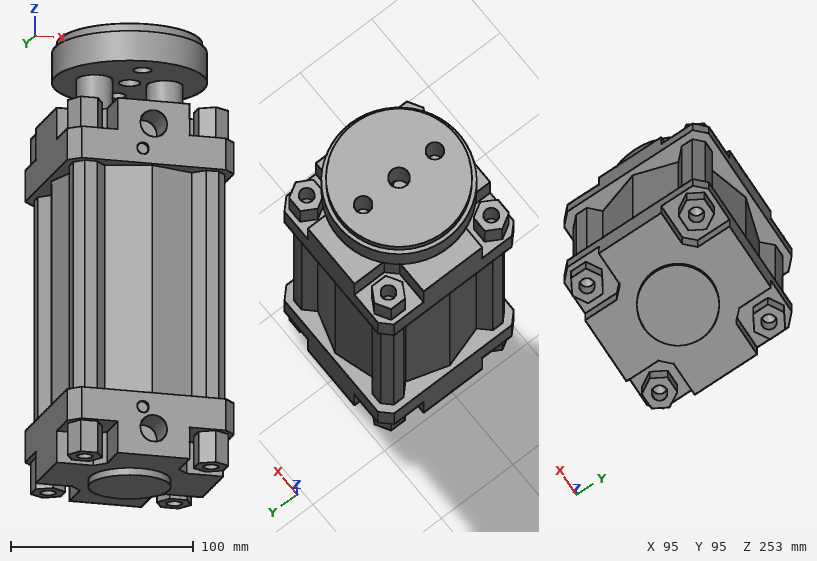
import cadquery as cq
import math


total_height = 253.0
boss_height = 4.0
cap_height = 36.0
tube_height = 131.0
flange_height = 17.0
raised_face_height = 5.0

bottom_cap_base = -total_height / 2 + boss_height
tube_base = bottom_cap_base + cap_height
top_cap_base = tube_base + tube_height
housing_top = top_cap_base + cap_height
plate_top = total_height / 2
plate_base = plate_top - raised_face_height - flange_height

cap_width = 95.0
cap_chamfer = 6.3
cross_half_width = 20.5
pocket_depth = 18.0
pocket_chamfer = 6.0
boss_diameter = 45.0

nut_spacing = 71.9
nut_across_flats = 17.0
nut_hole_diameter = 8.5
nut_hole_depth = pocket_depth
drill_point_angle = 118.0

ridge_distance = 44.5
post_distance = 43.3
post_corner = 38.2
post_edge = 31.0
groove_depth = 6.3

port_diameter = 15.2
port_depth = 20.2
top_port_drop = 13.0
bottom_port_drop = 15.7
screw_hole_diameter = 6.5
screw_hole_depth = 1.5
screw_hole_x = -6.0
screw_hole_drop = 27.5

rod_diameter = 20.0
rod_spacing = 40.0
flange_diameter = 85.0
raised_face_diameter = 80.0
center_hole_diameter = 12.0
side_hole_diameter = 10.0
side_hole_spacing = 50.0


def cylinder(diameter, base, height, x=0, y=0):
    """Upright cylinder with its base at the height `base`."""
    return cq.Workplane("XY", origin=(x, y, base)).circle(diameter / 2).extrude(height)


def side_drill(diameter, depth, x, z):
    """Cylinder that goes into the -Y side of a cap."""
    return cq.Workplane("XZ", origin=(x, -cap_width / 2, z)).circle(diameter / 2).extrude(-depth)


def corner_pocket():
    """Cutter for the +X +Y corner pocket, with its inner corner cut off at 45 degrees."""
    size = cap_width / 2 - cross_half_width
    center = cross_half_width + size / 2
    block = cq.Workplane("XY", origin=(center, center, cap_height - pocket_depth)).rect(size, size)
    return block.extrude(pocket_depth).edges("|Z and <X and <Y").chamfer(pocket_chamfer)


def nut_and_drill(x, y):
    """Hexagonal nut and the cutter for its blind hole; neighbouring nuts are turned by 90 degrees."""
    radius = nut_hole_diameter / 2
    point_depth = radius / math.tan(math.radians(drill_point_angle / 2))
    turn = 90 if x * y > 0 else 0
    hexagon = (
        cq.Workplane("XY")
        .polygon(6, nut_across_flats, circumscribed=True)
        .extrude(pocket_depth)
        .rotate((0, 0, 0), (0, 0, 1), turn)
        .translate((x, y, cap_height - pocket_depth))
    )
    drill = (
        cq.Workplane("XZ")
        .moveTo(0, cap_height)
        .lineTo(radius, cap_height)
        .lineTo(radius, cap_height - nut_hole_depth)
        .lineTo(0, cap_height - nut_hole_depth - point_depth)
        .close()
        .revolve(360, (0, 0), (0, 1))
        .translate((x, y, 0))
    )
    return hexagon, drill


def make_cap():
    """End cap standing on Z = 0 with its nuts at the upper end."""
    cap = cq.Workplane("XY").rect(cap_width, cap_width).extrude(cap_height)
    cap = cap.edges("|Z").chamfer(cap_chamfer)
    for quarter in range(4):
        cap = cap.cut(corner_pocket().rotate((0, 0, 0), (0, 0, 1), 90 * quarter))
    for side_x in (-1, 1):
        for side_y in (-1, 1):
            hexagon, drill = nut_and_drill(side_x * nut_spacing / 2, side_y * nut_spacing / 2)
            cap = cap.union(hexagon).cut(drill)
    return cap


def make_tube():
    """Profile tube: four chamfered corner posts, and between them sides with a central ridge."""
    valley_edge = post_edge - groove_depth
    valley_distance = post_distance - groove_depth
    side = [
        (ridge_distance, 0),
        (valley_distance, valley_edge),
        (post_distance, post_edge),
        (post_distance, post_corner),
        (post_corner, post_distance),
        (post_edge, post_distance),
        (valley_edge, valley_distance),
    ]
    outline = []
    for quarter in range(4):
        angle = math.radians(90 * quarter)
        for x, y in side:
            turned_x = x * math.cos(angle) - y * math.sin(angle)
            turned_y = x * math.sin(angle) + y * math.cos(angle)
            outline.append((turned_x, turned_y))
    return cq.Workplane("XY", origin=(0, 0, tube_base)).polyline(outline).close().extrude(tube_height)


def make_housing():
    """Tube between two end caps, with ports in the caps and a round boss below."""
    top_cap = make_cap().translate((0, 0, top_cap_base))
    bottom_cap = make_cap().mirror("XY").translate((0, 0, tube_base))
    boss = cylinder(boss_diameter, bottom_cap_base - boss_height, boss_height)
    housing = make_tube().union(top_cap).union(bottom_cap).union(boss)
    for port_z in (housing_top - top_port_drop, bottom_cap_base + bottom_port_drop):
        housing = housing.cut(side_drill(port_diameter, port_depth, 0, port_z))
    for hole_z in (housing_top - screw_hole_drop, bottom_cap_base + screw_hole_drop):
        housing = housing.cut(side_drill(screw_hole_diameter, screw_hole_depth, screw_hole_x, hole_z))
    return housing


def make_piston():
    """Two rods that stand on the housing and carry a round plate with three through holes."""
    plate_height = flange_height + raised_face_height
    piston = cylinder(flange_diameter, plate_base, flange_height)
    piston = piston.union(cylinder(raised_face_diameter, plate_base, plate_height))
    piston = piston.cut(cylinder(center_hole_diameter, plate_base, plate_height))
    for side in (-1, 1):
        hole_y = side * side_hole_spacing / 2
        rod_x = side * rod_spacing / 2
        piston = piston.cut(cylinder(side_hole_diameter, plate_base, plate_height, y=hole_y))
        piston = piston.union(cylinder(rod_diameter, housing_top, plate_base - housing_top, x=rod_x))
    return piston


housing = make_housing()
piston = make_piston()

result = cq.Compound.makeCompound([housing.val(), piston.val()])